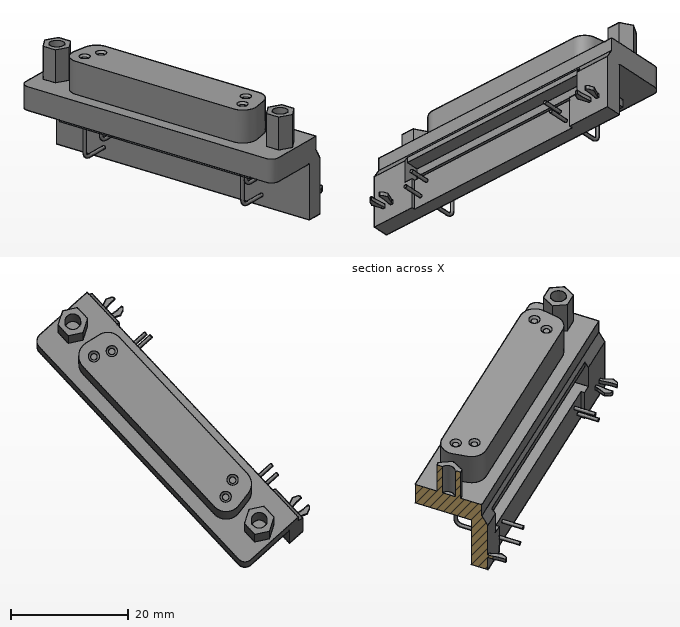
import cadquery as cq
import math


length = 53.2
flange_back = -1.1
flange_front = -13.55
flange_bottom = 10.55
flange_top = 15.0
flange_corner_radius = 1.5
wall_thickness = 3.15
back_chamfer_top = 12.4

window_width = 39.25
window_bottom = 6.05
recess_width = 35.95
recess_depth = 0.65

block_width = 40.2
block_front = -11.2
block_bottom = 8.95

mating_top = 21.2
mating_center_y = -7.3
mating_height = mating_top - flange_top
plug_depth = 8.05
plug_front_width = 39.6
plug_side_angle = 10.0
plug_corner_radius = 2.7
post_spacing = 47.0
post_corner_diameter = 5.15
post_hole_diameter = 2.7

row_pitch = 2.85
back_row = (15.2, mating_center_y + row_pitch / 2, 4.65)
front_row = (16.6, mating_center_y - row_pitch / 2, 2.1)
pin_diameter = 0.65
pin_bend_radius = 1.15
tail_end = 3.25
socket_mouth_diameter = 1.9
socket_floor_diameter = 1.1
socket_depth = 0.35

clip_z = 3.25
clip_thickness = 0.75
clip_root_depth = 0.55
prong_root_inner = 0.65
prong_root_outer = 1.15
prong_bend_y = 0.35
barb_tip = (1.85, 2.1)
barb_shoulder = (1.6, 2.65)
prong_end_arc_middle = (1.45, 3.05)
prong_end_outer = 1.1
prong_end_inner = 0.85

pin_embedment = 0.25


def box(x_size, y_min, y_max, z_min, z_max):
    """Box centred on X = 0 between the given Y and Z limits."""
    base_plane = cq.Workplane("XY", origin=(0, y_min, z_min))
    return base_plane.box(x_size, y_max - y_min, z_max - z_min, centered=(True, False, False))


def make_body():
    """Flange and wall as one L-shaped extrusion, with the window and the recess cut."""
    profile = [
        (0, 0),
        (0, flange_bottom),
        (flange_back, back_chamfer_top),
        (flange_back, flange_top),
        (flange_front, flange_top),
        (flange_front, flange_bottom),
        (-wall_thickness, flange_bottom),
        (-wall_thickness, 0),
    ]
    body = cq.Workplane("YZ").polyline(profile).close().extrude(length / 2, both=True)
    body = body.edges("|Z and <Y").fillet(flange_corner_radius)
    window = box(window_width, -wall_thickness, 0, window_bottom, flange_bottom)
    upper_recess = box(window_width, -recess_depth, 0, window_bottom, back_chamfer_top)
    lower_recess = box(recess_width, -recess_depth, 0, 0, window_bottom)
    block = box(block_width, block_front, -wall_thickness, block_bottom, flange_bottom)
    return body.cut(window).cut(upper_recess).cut(lower_recess).union(block)


def make_plug():
    """D-shaped plug, wider at the front, with rounded corners."""
    front_half = plug_front_width / 2
    back_half = front_half - plug_depth * math.tan(math.radians(plug_side_angle))
    front_y = mating_center_y - plug_depth / 2
    back_y = mating_center_y + plug_depth / 2
    outline = [(-front_half, front_y), (front_half, front_y), (back_half, back_y), (-back_half, back_y)]
    plug = cq.Workplane("XY").workplane(offset=flange_top).polyline(outline).close().extrude(mating_height)
    return plug.edges("|Z").fillet(plug_corner_radius)


def make_post(x):
    """Hexagonal jack post with a blind hole down to the flange."""
    return (
        cq.Workplane("XY", origin=(x, mating_center_y, flange_top))
        .polygon(6, post_corner_diameter)
        .circle(post_hole_diameter / 2)
        .extrude(mating_height)
    )


def make_socket(x, y):
    """Cutter for a contact opening: a conical mouth with a flat floor."""
    return (
        cq.Workplane("XY", origin=(x, y, mating_top))
        .circle(socket_mouth_diameter / 2)
        .workplane(offset=-socket_depth)
        .circle(socket_floor_diameter / 2)
        .loft()
    )


def make_pin(x, y, tail_z):
    """Round pin that drops from the block, bends 90 degrees and runs back through the wall."""
    bend_y = y + pin_bend_radius
    bend_z = tail_z + pin_bend_radius
    reach = pin_bend_radius * math.sqrt(0.5)
    start_z = block_bottom + pin_embedment
    path = (
        cq.Workplane("YZ", origin=(x, 0, 0))
        .moveTo(y, start_z)
        .lineTo(y, bend_z)
        .threePointArc((bend_y - reach, bend_z - reach), (bend_y, tail_z))
        .lineTo(tail_end, tail_z)
    )
    return cq.Workplane("XY", origin=(x, y, start_z)).circle(pin_diameter / 2).sweep(path)


def make_clip(x):
    """Pair of mirrored spring prongs with an outward barb, rooted in the back of the wall."""
    prong = (
        cq.Workplane("XY", origin=(0, 0, clip_z - clip_thickness / 2))
        .moveTo(prong_root_inner, -clip_root_depth)
        .lineTo(prong_root_outer, -clip_root_depth)
        .lineTo(prong_root_outer, prong_bend_y)
        .lineTo(*barb_tip)
        .lineTo(*barb_shoulder)
        .threePointArc(prong_end_arc_middle, (prong_end_outer, tail_end))
        .lineTo(prong_end_inner, tail_end)
        .lineTo(prong_end_inner, barb_tip[1])
        .lineTo(prong_root_inner, prong_bend_y)
        .close()
        .extrude(clip_thickness)
    )
    return prong.union(prong.mirror("YZ")).translate((x, 0, 0))


result = make_body().union(make_plug())
for side in (-1, 1):
    post_x = side * post_spacing / 2
    result = result.union(make_post(post_x)).union(make_clip(post_x))
    for half_spacing, contact_y, tail_z in (back_row, front_row):
        contact_x = side * half_spacing
        result = result.cut(make_socket(contact_x, contact_y))
        result = result.union(make_pin(contact_x, contact_y, tail_z))